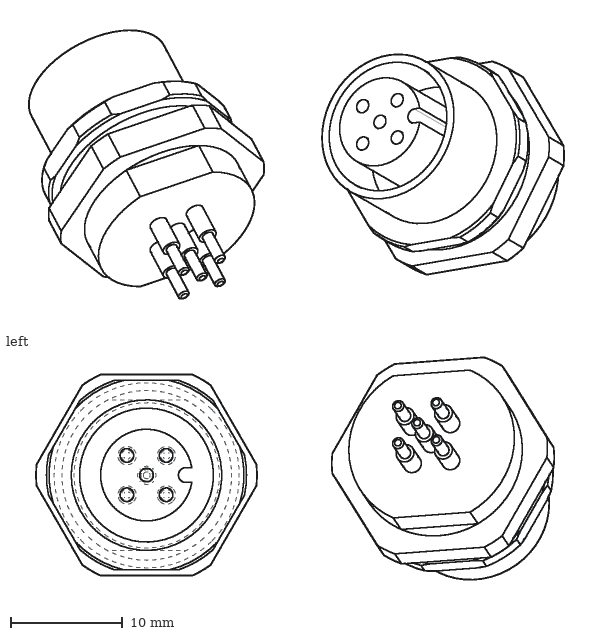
import cadquery as cq
import math


sleeve_front = 1.5
hex_front = 9.5
hex_rear = 11.5
thread_front = 13.4
nut_front = 13.5
nut_rear = 16.3
thread_rear = 19.5
pin_shoulder = 22.5
pin_shank_end = 25.3
pin_tip = 25.42
long_pin_tip = 25.5

sleeve_radius = 6.73
bore_radius = 6.0
hex_across_flats = 16.98
hex_corner_radius = 8.95
hex_chamfer = 0.23
thread_radius = 7.6
flat_height = sleeve_radius
seal_groove_radius = 6.5
cavity_depth = hex_front

insert_radius = 4.1
keyway_width = 1.33
keyway_bottom = 2.85
contact_spacing = 1.75
contact_hole_radius = 0.6
pin_base_radius = 0.82
pin_radius = 0.5
pin_tip_radius = 0.3

nut_across_flats = 18.0
nut_corner_radius = 9.9

ring_radius = 0.9
ring_center_radius = seal_groove_radius + ring_radius
ring_center_x = thread_front - ring_radius


def disc(radius, start, end):
    """Cylinder about the X axis from X = start to X = end."""
    return cq.Workplane("YZ", origin=(start, 0, 0)).circle(radius).extrude(end - start)


def hex_prism(across_flats, start, end):
    """Hexagonal prism along X with corners on the Y axis and flats facing +Z and -Z."""
    across_corners = across_flats / math.cos(math.pi / 6)
    return cq.Workplane("YZ", origin=(start, 0, 0)).polygon(6, across_corners).extrude(end - start)


def make_sleeve():
    """Open tube around the insert, closed behind the cavity."""
    sleeve = disc(sleeve_radius, sleeve_front, hex_front)
    return sleeve.cut(disc(bore_radius, sleeve_front, cavity_depth))


def make_hex_flange():
    """Hexagon whose corners are turned round and chamfered on both faces."""
    turned_blank = disc(hex_corner_radius, hex_front, hex_rear).faces("<X or >X").chamfer(hex_chamfer)
    return hex_prism(hex_across_flats, hex_front, hex_rear).intersect(turned_blank)


def make_thread():
    """Thread cylinder with a flat above and below behind the nut."""
    flatted_length = thread_rear - nut_rear
    between_flats = cq.Workplane("XY").box(flatted_length, 2 * thread_radius, 2 * flat_height)
    between_flats = between_flats.translate((nut_rear + flatted_length / 2, 0, 0))
    flatted_end = disc(thread_radius, nut_rear, thread_rear).intersect(between_flats)
    return disc(thread_radius, thread_front, nut_rear).union(flatted_end)


def make_insert(contacts):
    """Contact insert with a round-bottomed keyway on the -Y side and one hole per contact."""
    insert = disc(insert_radius, 0, hex_front)
    keyway_center = keyway_bottom + keyway_width / 2
    keyway_round = disc(keyway_width / 2, 0, cavity_depth).translate((0, -keyway_center, 0))
    keyway_slot = cq.Workplane("XY").box(cavity_depth, insert_radius, keyway_width)
    keyway_slot = keyway_slot.translate((cavity_depth / 2, -keyway_center - insert_radius / 2, 0))
    insert = insert.cut(keyway_round).cut(keyway_slot)
    for y, z in contacts:
        insert = insert.cut(disc(contact_hole_radius, 0, cavity_depth).translate((0, y, z)))
    return insert


def make_pin(tip):
    """Stepped solder pin with a tapered tip ending at X = tip."""
    profile = [
        (thread_rear, 0),
        (thread_rear, pin_base_radius),
        (pin_shoulder, pin_base_radius),
        (pin_shoulder, pin_radius),
        (pin_shank_end, pin_radius),
        (tip, pin_tip_radius),
        (tip, 0),
    ]
    return cq.Workplane("XY").polyline(profile).close().revolve(360, (0, 0, 0), (1, 0, 0))


def make_housing():
    """Sleeve, hex flange, seal groove, thread, insert and pins as one solid."""
    long_contact = (contact_spacing, contact_spacing)
    contacts = [(0, 0)]
    for y_side in (-1, 1):
        for z_side in (-1, 1):
            contacts.append((y_side * contact_spacing, z_side * contact_spacing))

    housing = make_hex_flange().union(make_sleeve())
    housing = housing.union(disc(seal_groove_radius, hex_rear, thread_front))
    housing = housing.union(make_thread()).union(make_insert(contacts))
    for y, z in contacts:
        tip = long_pin_tip if (y, z) == long_contact else pin_tip
        housing = housing.union(make_pin(tip).translate((0, y, z)))
    return housing


def make_nut():
    """Hexagonal panel nut with rounded corners, bored to fit the thread."""
    nut = hex_prism(nut_across_flats, nut_front, nut_rear)
    nut = nut.intersect(disc(nut_corner_radius, nut_front, nut_rear))
    return nut.cut(disc(thread_radius, nut_front, nut_rear))


def make_ring():
    """O-ring of round section about the X axis."""
    section = cq.Workplane("XY").center(ring_center_x, ring_center_radius).circle(ring_radius)
    return section.revolve(360, (0, -ring_center_radius, 0), (1, -ring_center_radius, 0))


housing = make_housing()
nut = make_nut()
ring = make_ring()

result = cq.Compound.makeCompound([housing.solids().val(), nut.solids().val(), ring.val()])